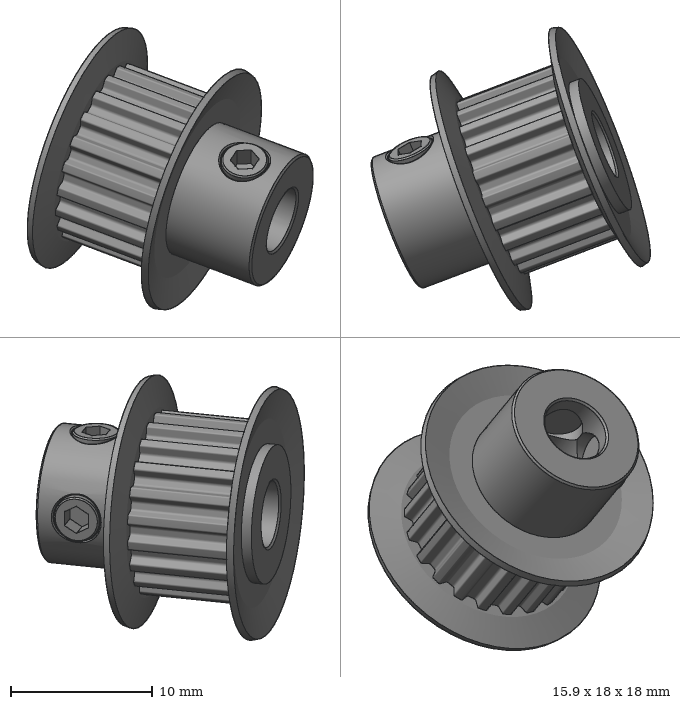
import cadquery as cq
import math


total_length = 15.88
left_flange_face = 1.25
right_flange_face = 8.65

hub_radius = 4.95
bore_radius = 2.38
edge_chamfer = 0.15

flange_radius = 9.02
sheet_thickness = 0.5
bend_radius = 6.73
rim_angle = math.radians(15)

tooth_count = 21
tip_radius = 6.56
root_radius = 5.91
groove_half_width = 0.32
wall_angle = math.radians(27.5)
root_fillet = 0.23
tip_fillet = 0.135

screw_x = 12.9
screw_radius = 1.65
screw_chamfer = 0.1
screw_clearance = 0.07
screw_hole_radius = screw_radius + screw_clearance
screw_hole_chamfer = 0.1
hex_across_flats = 1.77
hex_depth = 1.45
screw_foot = 2.52
screw_angles = (0, -90)


def cylinder_along_x(radius, start, end):
    return cq.Workplane("YZ").workplane(offset=start).circle(radius).extrude(end - start)


def around_axis(body, angle):
    """Turn a body about the pulley axis."""
    return body.rotate((0, 0, 0), (1, 0, 0), angle)


def flange(belt_face, outward):
    """Dished sheet disc; outward is -1 or +1, the X direction in which the rim is bent."""
    outer_bend = bend_radius + sheet_thickness * math.tan(rim_angle / 2)
    rim_reach = (flange_radius - outer_bend) * math.tan(rim_angle)
    rim_edge_x = rim_reach + sheet_thickness * math.cos(rim_angle)
    rim_edge_radius = flange_radius - sheet_thickness * math.sin(rim_angle)
    profile = [
        (0, 0),
        (0, outer_bend),
        (rim_reach, flange_radius),
        (rim_edge_x, rim_edge_radius),
        (sheet_thickness, bend_radius),
        (sheet_thickness, 0),
    ]
    points = [(belt_face + outward * depth, radius) for depth, radius in profile]
    return cq.Workplane("XY").polyline(points).close().revolve(360, (0, 0, 0), (1, 0, 0))


def groove():
    """One belt groove on the +Z side, with filleted floor corners and rounded tooth tips."""
    wall = (math.sin(wall_angle), math.cos(wall_angle))

    base_y = groove_half_width + tip_fillet * wall[1]
    base_z = root_radius - tip_fillet * wall[0]
    along = base_y * wall[0] + base_z * wall[1]
    reach = (tip_radius - tip_fillet) ** 2 - base_y ** 2 - base_z ** 2
    wall_length = math.sqrt(along ** 2 + reach) - along
    tip_y = base_y + wall_length * wall[0]
    tip_z = base_z + wall_length * wall[1]

    wall_end = (tip_y - tip_fillet * wall[1], tip_z + tip_fillet * wall[0])
    tip_scale = tip_radius / (tip_radius - tip_fillet)
    tip_end = (tip_y * tip_scale, tip_z * tip_scale)
    mid_angle = (math.atan2(tip_z, tip_y) + math.pi - wall_angle) / 2
    tip_mid = (tip_y + tip_fillet * math.cos(mid_angle), tip_z + tip_fillet * math.sin(mid_angle))

    turn = (math.pi / 2 - wall_angle) / 2
    setback = root_fillet * math.tan(turn)
    floor_end = (groove_half_width - setback, root_radius)
    wall_start = (groove_half_width + setback * wall[0], root_radius + setback * wall[1])
    floor_mid = (
        floor_end[0] + root_fillet * math.sin(turn),
        root_radius + root_fillet * (1 - math.cos(turn)),
    )

    def mirrored(point):
        return (-point[0], point[1])

    outside = flange_radius
    return (
        cq.Workplane("YZ").workplane(offset=left_flange_face)
        .moveTo(*mirrored(floor_end))
        .lineTo(*floor_end)
        .threePointArc(floor_mid, wall_start)
        .lineTo(*wall_end)
        .threePointArc(tip_mid, tip_end)
        .lineTo(tip_end[0], outside)
        .lineTo(-tip_end[0], outside)
        .lineTo(*mirrored(tip_end))
        .threePointArc(mirrored(tip_mid), mirrored(wall_end))
        .lineTo(*mirrored(wall_start))
        .threePointArc(mirrored(floor_mid), mirrored(floor_end))
        .close()
        .extrude(right_flange_face - left_flange_face)
    )


def toothed_barrel():
    barrel = cylinder_along_x(tip_radius, left_flange_face, right_flange_face)
    belt_groove = groove()
    pitch = 360 / tooth_count
    for index in range(tooth_count):
        angle = 90 + (index + 0.5) * pitch
        barrel = barrel.cut(around_axis(belt_groove, angle))
    return barrel


def cut_screw_hole(hub):
    """Cut a screw hole into the +Z side of the hub, from the bore outward, and break its mouth."""
    hole = cq.Workplane("XY").center(screw_x, 0).circle(screw_hole_radius).extrude(flange_radius)
    mouth_region = cq.selectors.BoxSelector(
        (screw_x - screw_hole_radius, -screw_hole_radius, (bore_radius + hub_radius) / 2),
        (screw_x + screw_hole_radius, screw_hole_radius, flange_radius),
    )
    return hub.cut(hole).edges(mouth_region).edges("not %LINE").chamfer(screw_hole_chamfer)


def make_hub():
    hub = around_axis(cylinder_along_x(hub_radius, 0, total_length), 180)
    hub = hub.faces(">X").edges().chamfer(edge_chamfer)
    hub = hub.cut(cylinder_along_x(bore_radius, 0, total_length))
    bore_ends = hub.faces("<X or >X").edges(cq.selectors.RadiusNthSelector(0))
    hub = bore_ends.chamfer(edge_chamfer)
    for angle in screw_angles:
        hub = around_axis(cut_screw_hole(around_axis(hub, -angle)), angle)
    return hub


def make_pulley():
    rim = toothed_barrel()
    rim = rim.union(flange(left_flange_face, -1)).union(flange(right_flange_face, 1))
    rim = rim.cut(cylinder_along_x(bore_radius, 0, total_length))
    return make_hub().union(rim)


def make_set_screw(angle):
    length = hub_radius - screw_foot
    screw = (
        cq.Workplane("XY", origin=(screw_x, 0, screw_foot))
        .circle(screw_radius).extrude(length)
        .faces(">Z").edges().chamfer(screw_chamfer)
    )
    corner_diameter = hex_across_flats / math.cos(math.pi / 6)
    socket = (
        cq.Workplane("XY", origin=(screw_x, 0, hub_radius - hex_depth))
        .transformed(rotate=(0, 0, 90))
        .polygon(6, corner_diameter).extrude(hex_depth)
    )
    return around_axis(screw.cut(socket), angle)


pulley = make_pulley()
set_screws = [make_set_screw(angle) for angle in screw_angles]

result = cq.Compound.makeCompound([pulley.val(), *[screw.val() for screw in set_screws]])